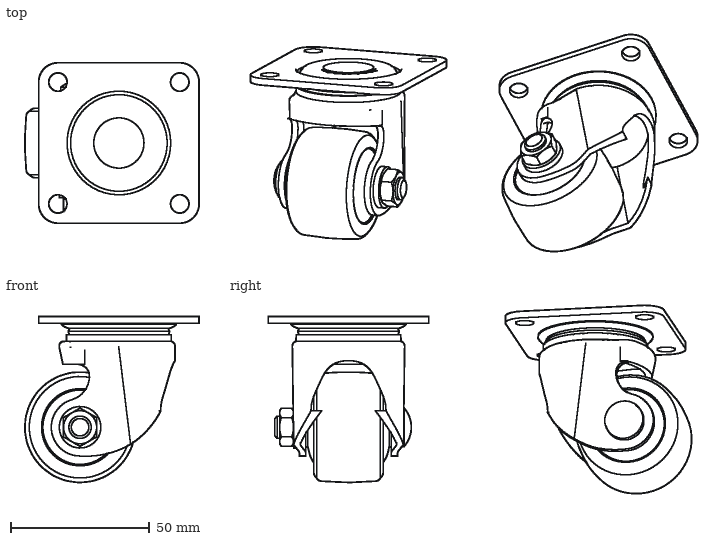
import cadquery as cq
import math


PLATE_SIDE = 58.0
PLATE_THICKNESS = 2.5
PLATE_CORNER_RADIUS = 7.05
BOLT_HOLE_PITCH = 44.0
BOLT_HOLE_DIAMETER = 6.55
GROOVE_DEPTH = 1.8
GROOVE_TOP_OUTER_RADIUS = 20.8
GROOVE_FLOOR_OUTER_RADIUS = 18.7
GROOVE_FLOOR_INNER_RADIUS = 17.45
GROOVE_TOP_INNER_RADIUS = 14.8
PIN_DIMPLE_RADIUS = 12.05
BULGE_BOTTOM_RADIUS = 18.0
BULGE_RIM_HEIGHT = 0.4
PLATE_BOTTOM = -PLATE_THICKNESS - GROOVE_DEPTH

PIN_RADIUS = 9.1
BEAD_TOP_RADIUS = 17.9
BEAD_RADIUS = 18.35
BEAD_BOTTOM_RADIUS = 18.0
BEAD_CREST = -5.35
RING_RADIUS = 18.95
RING_TOP = -6.55

TOTAL_LENGTH = 63.0
TOTAL_HEIGHT = 60.0
WHEEL_RADIUS = 20.0
AXLE_RADIUS = 4.05
AXLE_X = PLATE_SIDE / 2 + WHEEL_RADIUS - TOTAL_LENGTH
AXLE_Z = WHEEL_RADIUS - TOTAL_HEIGHT

TREAD_HALF_WIDTH = 9.75
TREAD_EDGE_RADIUS = 19.5
SHOULDER_HALF_WIDTH = 11.5
SHOULDER_RADIUS = 18.35
WHEEL_HALF_WIDTH = 12.6
FACE_OUTER_RADIUS = 15.95
FACE_INNER_RADIUS = 13.9
HUB_BASE_RADIUS = 13.4
HUB_BASE_HALF_WIDTH = 12.15
HUB_HALF_WIDTH = 14.7
COLLAR_RADIUS = 7.2
SHOULDER_BEND = (19.15, 10.85)
FACE_BEND = (17.25, 12.35)
HUB_BEND = (10.7, 13.75)

SHEET = 2.3
FORK_TOP = -8.9
FORK_BOTTOM = -50.7
SKIRT_BOTTOM = -17.3
ARM_OUTER_Y = 17.75
ARM_INNER_Y = ARM_OUTER_Y - SHEET
ARM_END_RADIUS = 10.4
ARM_NOTCH_RADIUS = 8.8
ARM_NOTCH_END_X = -10.65
FORK_BACK_RADIUS = 20.35
FORK_TOP_FILLET = 1.9
SKIRT_FRONT_RADIUS = 30.25

BOTTOM_BEND = (-3.8, -49.45)
BOTTOM_KNEE = (4.55, -46.0)
HEEL_BEND = (10.6, -40.75)
HEEL = (15.2, -34.0)
BACK_BEND = (17.15, -25.2)
BACK_TOP = (20.35, -15.95)

SKIRT_TOP_PLAN = dict(tip_x=-22.05, front_y=14.05)
SKIRT_BOTTOM_PLAN = dict(tip_x=-20.3, front_y=15.7)

BODY_FRONT_X = -12.35
BODY_TOP_PLAN = dict(flare_start=-12.3, bend_length=1.65, flare_end=-0.3)
BODY_BOTTOM_PLAN = dict(flare_start=-3.5, bend_length=2.4, flare_end=4.8)

BOLT_HEAD_RADIUS = 7.0
BOLT_HEAD_RIM = 2.3
BOLT_DOME_HEIGHT = 2.65
BOLT_END_Y = -26.65
BOLT_END_CHAMFER = 0.9
NUT_FLANGE_RADIUS = 7.5
NUT_FLANGE_THICKNESS = 2.1
NUT_ACROSS_FLATS = 12.0
NUT_THICKNESS = 5.05
NUT_CHAMFER = 0.6


def disc(radius, bottom, top):
    """A cylinder on the swivel axis."""
    return cq.Workplane("XY", origin=(0, 0, bottom)).circle(radius).extrude(top - bottom)


def axle_disc(radius, start, end):
    """A cylinder on the axle axis between two Y positions."""
    plane = cq.Plane(origin=(AXLE_X, start, AXLE_Z), xDir=(1, 0, 0), normal=(0, 1, 0))
    return cq.Workplane(plane).circle(radius).extrude(end - start)


def revolve_on_axle(profile):
    """Revolve a profile drawn in XY, with X as radius, about the axle axis."""
    return profile.close().revolve(360, (0, 0), (0, 1)).translate((AXLE_X, 0, AXLE_Z))


def make_plate():
    """Square plate pressed down into a ring groove around the kingpin."""
    plate = (
        cq.Workplane("XY", origin=(0, 0, -PLATE_THICKNESS))
        .rect(PLATE_SIDE, PLATE_SIDE)
        .extrude(PLATE_THICKNESS)
        .edges("|Z")
        .fillet(PLATE_CORNER_RADIUS)
        .faces(">Z")
        .workplane()
        .rect(BOLT_HOLE_PITCH, BOLT_HOLE_PITCH, forConstruction=True)
        .vertices()
        .hole(BOLT_HOLE_DIAMETER)
    )
    plate = plate.cut(disc(GROOVE_TOP_OUTER_RADIUS, -PLATE_THICKNESS, 0))
    rim_bottom = -PLATE_THICKNESS - BULGE_RIM_HEIGHT
    bulge_middle = (
        (GROOVE_TOP_OUTER_RADIUS + BULGE_BOTTOM_RADIUS) / 2 + BULGE_RIM_HEIGHT / 2,
        (rim_bottom + PLATE_BOTTOM) / 2 - BULGE_RIM_HEIGHT / 2,
    )
    pressed_centre = (
        cq.Workplane("XZ")
        .moveTo(PIN_RADIUS, PLATE_BOTTOM)
        .lineTo(PIN_RADIUS, -GROOVE_DEPTH)
        .spline([(PIN_DIMPLE_RADIUS, 0)], tangents=[(0, 1), (1, 0)], includeCurrent=True)
        .lineTo(GROOVE_TOP_INNER_RADIUS, 0)
        .tangentArcPoint((GROOVE_FLOOR_INNER_RADIUS, -GROOVE_DEPTH), relative=False)
        .lineTo(GROOVE_FLOOR_OUTER_RADIUS, -GROOVE_DEPTH)
        .spline([(GROOVE_TOP_OUTER_RADIUS, 0)], tangents=[(0, 1), (1, 0)], includeCurrent=True)
        .lineTo(GROOVE_TOP_OUTER_RADIUS, rim_bottom)
        .threePointArc(bulge_middle, (BULGE_BOTTOM_RADIUS, PLATE_BOTTOM))
        .close()
        .revolve(360, (0, 0), (0, 1))
    )
    return plate.union(pressed_centre)


def mirrored(point):
    """The same point with its second coordinate reversed."""
    return (point[0], -point[1])


def skirt_plan(height, inset, tip_x, front_y):
    """Plan of the front skirt: a shallow front arc with corner arcs tangent to the flat sides."""
    front_angle = math.asin(front_y / SKIRT_FRONT_RADIUS)
    corner_radius = (ARM_OUTER_Y - front_y) / (1 - math.sin(front_angle))
    to_corner = SKIRT_FRONT_RADIUS - corner_radius
    corner_centre_x = tip_x + SKIRT_FRONT_RADIUS - to_corner * math.cos(front_angle)
    corner_centre_y = to_corner * math.sin(front_angle)
    radius = corner_radius - inset

    def corner_point(angle):
        return (
            corner_centre_x - radius * math.cos(angle),
            corner_centre_y + radius * math.sin(angle),
        )

    front_end = corner_point(front_angle)
    corner_middle = corner_point((front_angle + math.pi / 2) / 2)
    corner_end = corner_point(math.pi / 2)
    back_point = (0, ARM_OUTER_Y - inset)
    return (
        cq.Workplane("XY", origin=(0, 0, height))
        .moveTo(*mirrored(front_end))
        .threePointArc((tip_x + inset, 0), front_end)
        .threePointArc(corner_middle, corner_end)
        .lineTo(*back_point)
        .lineTo(*mirrored(back_point))
        .lineTo(*mirrored(corner_end))
        .threePointArc(mirrored(corner_middle), mirrored(front_end))
        .close()
        .val()
    )


def body_plan(height, inset, flare_start, bend_length, flare_end):
    """Plan of the fork body: flat sides that bend outward and meet a round back."""
    side_y = ARM_OUTER_Y - inset
    back_radius = FORK_BACK_RADIUS - inset
    front_point = (BODY_FRONT_X, side_y)
    flare_end_point = (flare_end, math.sqrt(back_radius**2 - flare_end**2))
    bend_corner = (flare_start + bend_length, side_y)
    slope = math.atan2(flare_end_point[1] - side_y, flare_end - bend_corner[0])
    bend_start = (flare_start, side_y)
    bend_end = (
        bend_corner[0] + bend_length * math.cos(slope),
        side_y + bend_length * math.sin(slope),
    )
    bend_radius = bend_length / math.tan(slope / 2)
    bend_middle = (
        flare_start + bend_radius * math.sin(slope / 2),
        side_y + bend_radius * (1 - math.cos(slope / 2)),
    )
    return (
        cq.Workplane("XY", origin=(0, 0, height))
        .moveTo(*mirrored(front_point))
        .lineTo(*front_point)
        .lineTo(*bend_start)
        .threePointArc(bend_middle, bend_end)
        .lineTo(*flare_end_point)
        .threePointArc((back_radius, 0), mirrored(flare_end_point))
        .lineTo(*mirrored(bend_end))
        .threePointArc(mirrored(bend_middle), mirrored(bend_start))
        .close()
        .val()
    )


def ruled_loft(lower, upper):
    """Solid with straight sides between two plan outlines."""
    return cq.Workplane(cq.Solid.makeLoft([lower, upper], True))


def fork_shell(inset, top):
    """Outer form of the fork, or with an inset its hollow, closed at the given top."""
    skirt = ruled_loft(
        skirt_plan(SKIRT_BOTTOM, inset, **SKIRT_BOTTOM_PLAN),
        skirt_plan(top, inset, **SKIRT_TOP_PLAN),
    )
    body = ruled_loft(
        body_plan(FORK_BOTTOM, inset, **BODY_BOTTOM_PLAN),
        body_plan(top, inset, **BODY_TOP_PLAN),
    )
    return body.union(skirt, clean=True)


def back_window():
    """Opening in the round back, following the edge that the side outline leaves on it."""

    def edge_point(side_point):
        return (math.sqrt(FORK_BACK_RADIUS**2 - side_point[0] ** 2), side_point[1])

    crest = edge_point(BACK_TOP)
    shoulder = edge_point(BACK_BEND)
    foot = edge_point(HEEL)
    half = (
        cq.Workplane("YZ")
        .moveTo(*crest)
        .spline([shoulder, foot], tangents=[(1, 0), (0, -1)], includeCurrent=True)
        .lineTo(0, foot[1])
        .close()
        .extrude(FORK_BACK_RADIUS)
    )
    return half.union(half.mirror("XZ"))


def fork_side_profile():
    """Prism of the fork's side outline, wide enough to span the whole fork."""
    reach = 2 * FORK_BACK_RADIUS
    notch_x = ARM_NOTCH_END_X - ARM_NOTCH_RADIUS
    centre_distance = ARM_END_RADIUS + ARM_NOTCH_RADIUS
    notch_z = AXLE_Z + math.sqrt(centre_distance**2 - (notch_x - AXLE_X) ** 2)
    share = ARM_END_RADIUS / centre_distance
    tangent_point = (AXLE_X + share * (notch_x - AXLE_X), AXLE_Z + share * (notch_z - AXLE_Z))
    throat_radius = SKIRT_BOTTOM - notch_z
    return (
        cq.Workplane("XZ", origin=(0, reach, 0))
        .moveTo(-reach, FORK_TOP)
        .lineTo(-reach, SKIRT_BOTTOM)
        .lineTo(ARM_NOTCH_END_X - throat_radius, SKIRT_BOTTOM)
        .tangentArcPoint((ARM_NOTCH_END_X, notch_z), relative=False)
        .tangentArcPoint(tangent_point, relative=False)
        .threePointArc((AXLE_X - ARM_END_RADIUS, AXLE_Z), (AXLE_X, AXLE_Z - ARM_END_RADIUS))
        .threePointArc(BOTTOM_BEND, BOTTOM_KNEE)
        .threePointArc(HEEL_BEND, HEEL)
        .threePointArc(BACK_BEND, BACK_TOP)
        .lineTo(reach, BACK_TOP[1])
        .lineTo(reach, FORK_TOP)
        .close()
        .extrude(2 * reach)
    )


def arm_block(half_width):
    """Block ahead of the swivel axis that holds the flat arms or the slot between them."""
    length = 2 * ARM_END_RADIUS - AXLE_X
    return (
        cq.Workplane("XY", origin=(-length / 2, 0, FORK_BOTTOM))
        .rect(length, 2 * half_width)
        .extrude(SKIRT_BOTTOM - FORK_BOTTOM)
    )


def make_fork(axle):
    """Pressed fork with its swivel rings and kingpin."""
    arms = arm_block(ARM_OUTER_Y)
    fork = fork_shell(0, FORK_TOP).faces(">Z").edges().fillet(FORK_TOP_FILLET)
    fork = fork.union(arms)
    fork = fork.cut(fork_shell(SHEET, FORK_TOP - SHEET))
    fork = fork.cut(arm_block(ARM_INNER_Y))
    fork = fork.intersect(fork_side_profile()).cut(back_window())
    bead = (
        cq.Workplane("XZ")
        .moveTo(0, RING_TOP)
        .lineTo(BEAD_BOTTOM_RADIUS, RING_TOP)
        .lineTo(BEAD_RADIUS, BEAD_CREST)
        .lineTo(BEAD_TOP_RADIUS, PLATE_BOTTOM)
        .lineTo(0, PLATE_BOTTOM)
        .close()
        .revolve(360, (0, 0), (0, 1))
    )
    fork = fork.union(disc(RING_RADIUS, FORK_TOP, RING_TOP))
    fork = fork.union(bead)
    fork = fork.union(disc(PIN_RADIUS, PLATE_BOTTOM, 0))
    return fork.cut(axle)


def make_wheel(axle):
    """Crowned wheel with a domed hub whose end collars touch the fork arms."""
    wheel = (
        cq.Workplane("XY")
        .moveTo(0, -ARM_INNER_Y)
        .lineTo(COLLAR_RADIUS, -ARM_INNER_Y)
        .lineTo(COLLAR_RADIUS, -HUB_HALF_WIDTH)
        .threePointArc(mirrored(HUB_BEND), (HUB_BASE_RADIUS, -HUB_BASE_HALF_WIDTH))
        .lineTo(FACE_INNER_RADIUS, -WHEEL_HALF_WIDTH)
        .lineTo(FACE_OUTER_RADIUS, -WHEEL_HALF_WIDTH)
        .threePointArc(mirrored(FACE_BEND), (SHOULDER_RADIUS, -SHOULDER_HALF_WIDTH))
        .threePointArc(mirrored(SHOULDER_BEND), (TREAD_EDGE_RADIUS, -TREAD_HALF_WIDTH))
        .threePointArc((WHEEL_RADIUS, 0), (TREAD_EDGE_RADIUS, TREAD_HALF_WIDTH))
        .threePointArc(SHOULDER_BEND, (SHOULDER_RADIUS, SHOULDER_HALF_WIDTH))
        .threePointArc(FACE_BEND, (FACE_OUTER_RADIUS, WHEEL_HALF_WIDTH))
        .lineTo(FACE_INNER_RADIUS, WHEEL_HALF_WIDTH)
        .lineTo(HUB_BASE_RADIUS, HUB_BASE_HALF_WIDTH)
        .threePointArc(HUB_BEND, (COLLAR_RADIUS, HUB_HALF_WIDTH))
        .lineTo(COLLAR_RADIUS, ARM_INNER_Y)
        .lineTo(0, ARM_INNER_Y)
    )
    return revolve_on_axle(wheel).cut(axle)


def make_bolt():
    """Axle bolt with a domed head outside the +Y arm and a chamfered end."""
    rim_y = ARM_OUTER_Y + BOLT_HEAD_RIM
    dome_radius = (BOLT_HEAD_RADIUS**2 + BOLT_DOME_HEIGHT**2) / (2 * BOLT_DOME_HEIGHT)
    tip_y = rim_y + BOLT_DOME_HEIGHT
    half_angle = math.asin(BOLT_HEAD_RADIUS / dome_radius) / 2
    dome_middle = (
        dome_radius * math.sin(half_angle),
        tip_y - dome_radius * (1 - math.cos(half_angle)),
    )
    bolt = (
        cq.Workplane("XY")
        .moveTo(0, BOLT_END_Y)
        .lineTo(AXLE_RADIUS - BOLT_END_CHAMFER, BOLT_END_Y)
        .lineTo(AXLE_RADIUS, BOLT_END_Y + BOLT_END_CHAMFER)
        .lineTo(AXLE_RADIUS, ARM_OUTER_Y)
        .lineTo(BOLT_HEAD_RADIUS, ARM_OUTER_Y)
        .lineTo(BOLT_HEAD_RADIUS, rim_y)
        .threePointArc(dome_middle, (0, tip_y))
    )
    return revolve_on_axle(bolt)


def make_nut(axle):
    """Flanged hexagon nut outside the -Y arm, with its hexagon corners turned down."""
    flange_y = -ARM_OUTER_Y - NUT_FLANGE_THICKNESS
    outer_y = flange_y - NUT_THICKNESS
    across_corners = NUT_ACROSS_FLATS / math.cos(math.pi / 6)
    face_radius = NUT_ACROSS_FLATS / 2
    corner_radius = across_corners / 2
    hexagon = (
        cq.Workplane("XZ", origin=(AXLE_X, flange_y, AXLE_Z))
        .transformed(rotate=(0, 0, 90))
        .polygon(6, across_corners)
        .extrude(NUT_THICKNESS)
    )
    turned = (
        cq.Workplane("XY")
        .moveTo(0, flange_y)
        .lineTo(face_radius, flange_y)
        .lineTo(corner_radius, flange_y - NUT_CHAMFER)
        .lineTo(corner_radius, outer_y + NUT_CHAMFER)
        .lineTo(face_radius, outer_y)
        .lineTo(0, outer_y)
    )
    hexagon = hexagon.intersect(revolve_on_axle(turned))
    flange = axle_disc(NUT_FLANGE_RADIUS, flange_y, -ARM_OUTER_Y)
    return hexagon.union(flange).cut(axle)


axle_hole = axle_disc(AXLE_RADIUS, BOLT_END_Y, ARM_OUTER_Y)

plate = make_plate()
fork = make_fork(axle_hole)
wheel = make_wheel(axle_hole)
bolt = make_bolt()
nut = make_nut(axle_hole)

bodies = [plate, fork, wheel, bolt, nut]
result = cq.Compound.makeCompound([body.solids().val() for body in bodies])